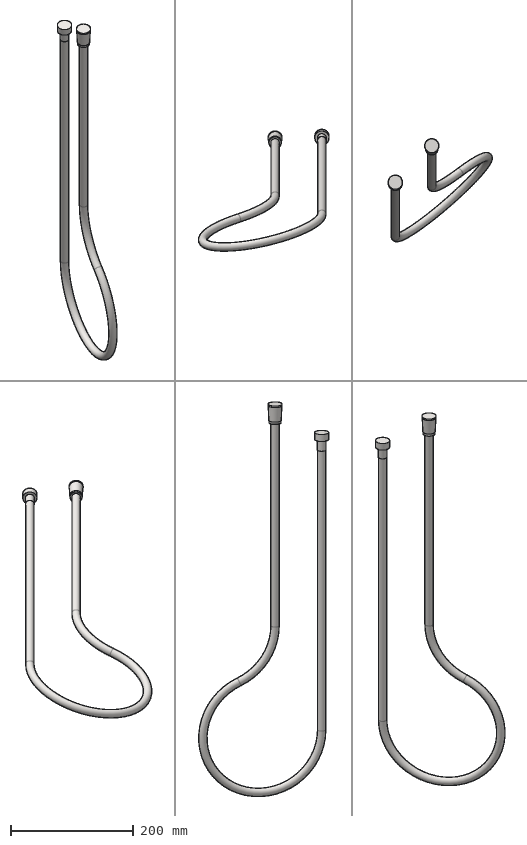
import cadquery as cq
import math

HOSE_DIAMETER = 14.0
LONG_LEG_X = 0.0
SHORT_LEG_X = 78.5
LOOP_RADIUS = 100.0
LOOP_CENTER_X = LONG_LEG_X + LOOP_RADIUS
LOOP_CENTER_Z = LOOP_RADIUS + HOSE_DIAMETER / 2
BEND_RADIUS = LOOP_RADIUS

SLEEVE_DIAMETER = 15.0
SLEEVE_BOTTOM_Z = 585.5
HEAD_DIAMETER = 23.5
HEAD_BOTTOM_Z = 603.5
HEAD_TOP_Z = 615.5

NUT_TOP_Z = 670.0
NUT_RIM_DIAMETER = 23.5
NUT_RIM_HEIGHT = 3.0
NUT_TAPER_TOP_DIAMETER = 23.0
NUT_TAPER_BOTTOM_DIAMETER = 21.0
NUT_COLLAR_DIAMETER = 20.0
NUT_COLLAR_HEIGHT = 4.0
NUT_BOTTOM_Z = 638.0


def make_cylinder(diameter, x, bottom_z, top_z):
    """Upright cylinder centred at X = x, Y = 0."""
    base = cq.Workplane("XY", origin=(x, 0, bottom_z))
    return base.circle(diameter / 2).extrude(top_z - bottom_z)


def make_hose_path():
    """Long leg down, around the loop, back through a reverse bend and up the short leg."""
    bend_center_x = SHORT_LEG_X + BEND_RADIUS
    contact_angle = math.acos((bend_center_x - LOOP_CENTER_X) / (LOOP_RADIUS + BEND_RADIUS))
    bend_center_z = LOOP_CENTER_Z + (LOOP_RADIUS + BEND_RADIUS) * math.sin(contact_angle)

    def loop_point(angle):
        x = LOOP_CENTER_X + LOOP_RADIUS * math.cos(angle)
        z = LOOP_CENTER_Z + LOOP_RADIUS * math.sin(angle)
        return (x, z)

    bend_middle_angle = (contact_angle + 2 * math.pi) / 2
    bend_middle = (
        bend_center_x + BEND_RADIUS * math.cos(bend_middle_angle),
        bend_center_z + BEND_RADIUS * math.sin(bend_middle_angle),
    )
    loop_middle_angle = (contact_angle - math.pi) / 2
    return (
        cq.Workplane("XZ")
        .moveTo(LONG_LEG_X, SLEEVE_BOTTOM_Z)
        .lineTo(LONG_LEG_X, LOOP_CENTER_Z)
        .threePointArc(loop_point(loop_middle_angle), loop_point(contact_angle))
        .threePointArc(bend_middle, (SHORT_LEG_X, bend_center_z))
        .lineTo(SHORT_LEG_X, NUT_BOTTOM_Z)
    )


def make_hose():
    """Bent bar with the sleeve and head at the end of its long leg."""
    profile = cq.Workplane("XY", origin=(LONG_LEG_X, 0, SLEEVE_BOTTOM_Z)).circle(HOSE_DIAMETER / 2)
    bar = profile.sweep(make_hose_path())
    sleeve = make_cylinder(SLEEVE_DIAMETER, LONG_LEG_X, SLEEVE_BOTTOM_Z, HEAD_BOTTOM_Z)
    head = make_cylinder(HEAD_DIAMETER, LONG_LEG_X, HEAD_BOTTOM_Z, HEAD_TOP_Z)
    return bar.union(sleeve).union(head)


def make_nut():
    """Collar, taper and rim, resting on the top of the short leg."""
    taper_bottom_z = NUT_BOTTOM_Z + NUT_COLLAR_HEIGHT
    taper_top_z = NUT_TOP_Z - NUT_RIM_HEIGHT
    half_profile = (
        cq.Workplane("XZ", origin=(SHORT_LEG_X, 0, 0))
        .moveTo(0, NUT_BOTTOM_Z)
        .lineTo(NUT_COLLAR_DIAMETER / 2, NUT_BOTTOM_Z)
        .lineTo(NUT_COLLAR_DIAMETER / 2, taper_bottom_z)
        .lineTo(NUT_TAPER_BOTTOM_DIAMETER / 2, taper_bottom_z)
        .lineTo(NUT_TAPER_TOP_DIAMETER / 2, taper_top_z)
        .lineTo(NUT_RIM_DIAMETER / 2, taper_top_z)
        .lineTo(NUT_RIM_DIAMETER / 2, NUT_TOP_Z)
        .lineTo(0, NUT_TOP_Z)
        .close()
    )
    return half_profile.revolve(360, (0, 0, 0), (0, 1, 0))


hose = make_hose()
nut = make_nut()
result = cq.Compound.makeCompound([hose.val(), nut.val()])